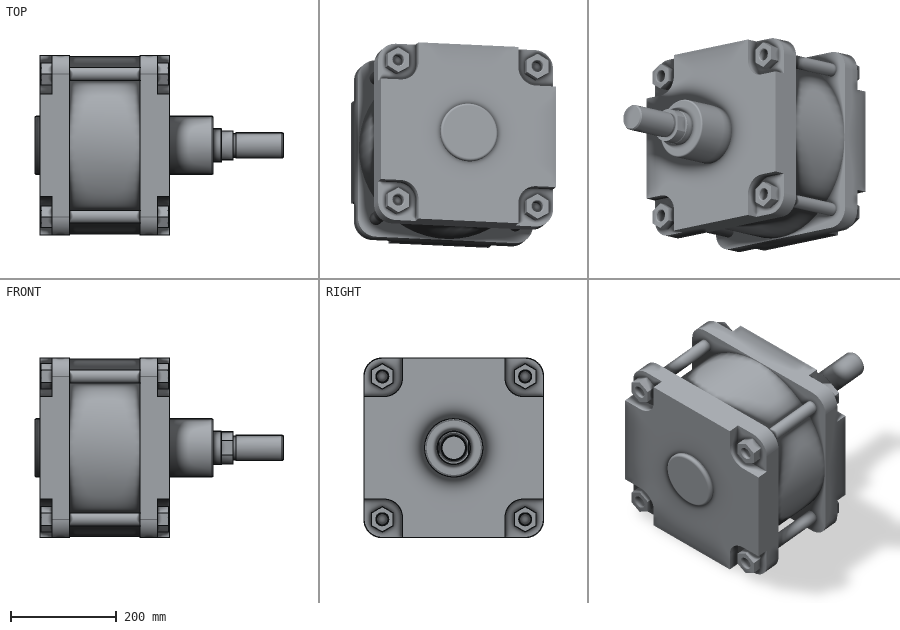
import cadquery as cq

TOTAL_LENGTH = 471.0

COVER_SIDE = 340.0
COVER_THICKNESS = 56.0
COVER_CORNER_RADIUS = 35.0
BARREL_LENGTH = 133.5
BARREL_DIAMETER = 336.5

BOSS_DIAMETER = 110.0
REAR_BOSS_LENGTH = 10.0
REAR_BOSS_FILLET = 4.2
FRONT_BOSS_LENGTH = 82.0
FRONT_BOSS_FILLET = 3.0

TIE_ROD_SPACING = 270.5
TIE_ROD_DIAMETER = 24.5
POCKET_SIDE = 73.0
POCKET_RADIUS = 35.0
POCKET_DEPTH = 23.0
NUT_ACROSS_FLATS = 41.5
NUT_HEIGHT = 20.5
SOCKET_DIAMETER = 21.5
SOCKET_CHAMFER = 1.5

ROD_DIAMETER = 63.0
ROD_NECK_LENGTH = 16.5
NECK_CHAMFER_LENGTH = 1.5
NECK_CHAMFER_DEPTH = 0.7
FLATS_LENGTH = 21.5
FLATS_DIAMETER = ROD_DIAMETER - 2 * NECK_CHAMFER_DEPTH
ROD_ACROSS_FLATS = 55.0
RELIEF_DIAMETER = 45.0
RELIEF_LENGTH = 5.5
THREAD_DIAMETER = 48.0
TIP_CHAMFER_LENGTH = 3.5
TIP_CHAMFER_DEPTH = 2.0

REAR_OUTER_X = REAR_BOSS_LENGTH
REAR_INNER_X = REAR_OUTER_X + COVER_THICKNESS
FRONT_INNER_X = REAR_INNER_X + BARREL_LENGTH
FRONT_OUTER_X = FRONT_INNER_X + COVER_THICKNESS
FRONT_BOSS_END_X = FRONT_OUTER_X + FRONT_BOSS_LENGTH
FLATS_START_X = FRONT_BOSS_END_X + ROD_NECK_LENGTH
RELIEF_START_X = FLATS_START_X + FLATS_LENGTH
THREAD_START_X = RELIEF_START_X + RELIEF_LENGTH
REAR_SEAT_X = REAR_OUTER_X + POCKET_DEPTH
FRONT_SEAT_X = FRONT_OUTER_X - POCKET_DEPTH

CORNER_SIGNS = [(-1, -1), (-1, 1), (1, -1), (1, 1)]
TIE_ROD_CENTERS = [(y * TIE_ROD_SPACING / 2, z * TIE_ROD_SPACING / 2) for y, z in CORNER_SIGNS]


def plane_at(x):
    """Workplane across the cylinder axis: local x is Y, local y is Z, extrusion is +X."""
    return cq.Workplane("YZ", origin=(x, 0, 0))


def cylinder(start_x, end_x, diameter):
    """Round bar on the cylinder axis."""
    return plane_at(start_x).circle(diameter / 2).extrude(end_x - start_x)


def corner_pockets(start_x):
    """Four blocks that open to the cover's corner, each rounded on its inner edge."""
    pockets = cq.Workplane("YZ")
    block_side = POCKET_SIDE + POCKET_RADIUS
    offset = COVER_SIDE / 2 - POCKET_SIDE + block_side / 2
    for y_sign, z_sign in CORNER_SIGNS:
        block = (
            plane_at(start_x)
            .center(y_sign * offset, z_sign * offset)
            .rect(block_side, block_side)
            .extrude(POCKET_DEPTH)
            .edges("|X")
            .fillet(POCKET_RADIUS)
        )
        pockets = pockets.add(block)
    return pockets.combine()


def cover_plate(start_x, pocket_x):
    """Square plate with round corners, corner pockets and tie rod holes."""
    plate = (
        plane_at(start_x)
        .rect(COVER_SIDE, COVER_SIDE)
        .extrude(COVER_THICKNESS)
        .edges("|X")
        .fillet(COVER_CORNER_RADIUS)
        .cut(corner_pockets(pocket_x))
    )
    holes = (
        plane_at(start_x)
        .pushPoints(TIE_ROD_CENTERS)
        .circle(TIE_ROD_DIAMETER / 2)
        .extrude(COVER_THICKNESS)
    )
    return plate.cut(holes)


def make_rear_cover():
    boss = cylinder(0, REAR_OUTER_X, BOSS_DIAMETER).faces("<X").edges().fillet(REAR_BOSS_FILLET)
    return cover_plate(REAR_OUTER_X, REAR_OUTER_X).union(boss)


def make_front_cover():
    boss = cylinder(FRONT_OUTER_X, FRONT_BOSS_END_X, BOSS_DIAMETER)
    boss = boss.faces(">X").edges().fillet(FRONT_BOSS_FILLET)
    rod_bore = cylinder(FRONT_INNER_X, FRONT_BOSS_END_X, ROD_DIAMETER)
    return cover_plate(FRONT_INNER_X, FRONT_SEAT_X).union(boss).cut(rod_bore)


def make_barrel():
    return cylinder(REAR_INNER_X, FRONT_INNER_X, BARREL_DIAMETER)


def make_piston_rod():
    neck = (
        cylinder(FRONT_INNER_X, FLATS_START_X, ROD_DIAMETER)
        .faces(">X")
        .chamfer(NECK_CHAMFER_LENGTH, NECK_CHAMFER_DEPTH)
    )
    flats_slab = plane_at(FLATS_START_X).rect(ROD_ACROSS_FLATS, ROD_DIAMETER).extrude(FLATS_LENGTH)
    flats = cylinder(FLATS_START_X, RELIEF_START_X, FLATS_DIAMETER).intersect(flats_slab)
    relief = cylinder(RELIEF_START_X, THREAD_START_X, RELIEF_DIAMETER)
    thread = (
        cylinder(THREAD_START_X, TOTAL_LENGTH, THREAD_DIAMETER)
        .faces(">X")
        .chamfer(TIP_CHAMFER_LENGTH, TIP_CHAMFER_DEPTH)
    )
    return neck.union(flats).union(relief).union(thread)


def hexagonal_end(start_x):
    """Hexagon with corners pointing up and down."""
    return plane_at(start_x).polygon(6, NUT_ACROSS_FLATS, circumscribed=True).extrude(NUT_HEIGHT)


def socket(face_x, direction):
    """Blind hole as deep as the hexagon, going in from its face, with a chamfered mouth."""
    radius = SOCKET_DIAMETER / 2
    mouth_radius = radius + SOCKET_CHAMFER
    profile = [
        (face_x, 0),
        (face_x, mouth_radius),
        (face_x + direction * SOCKET_CHAMFER, radius),
        (face_x + direction * NUT_HEIGHT, radius),
        (face_x + direction * NUT_HEIGHT, 0),
    ]
    return cq.Workplane("XY").polyline(profile).close().revolve(360, (0, 0, 0), (1, 0, 0))


def make_tie_rod(y, z):
    """Round rod between the pocket floors with a hexagonal, socketed end on each side."""
    rear_face_x = REAR_SEAT_X - NUT_HEIGHT
    front_face_x = FRONT_SEAT_X + NUT_HEIGHT
    rod = (
        cylinder(REAR_SEAT_X, FRONT_SEAT_X, TIE_ROD_DIAMETER)
        .union(hexagonal_end(rear_face_x))
        .union(hexagonal_end(FRONT_SEAT_X))
        .cut(socket(rear_face_x, 1))
        .cut(socket(front_face_x, -1))
    )
    return rod.translate((0, y, z))


rear_cover = make_rear_cover()
front_cover = make_front_cover()
barrel = make_barrel()
piston_rod = make_piston_rod()
tie_rods = [make_tie_rod(y, z) for y, z in TIE_ROD_CENTERS]

result = cq.Compound.makeCompound(
    [
        rear_cover.val(),
        front_cover.val(),
        barrel.val(),
        piston_rod.val(),
        *[tie_rod.val() for tie_rod in tie_rods],
    ]
)